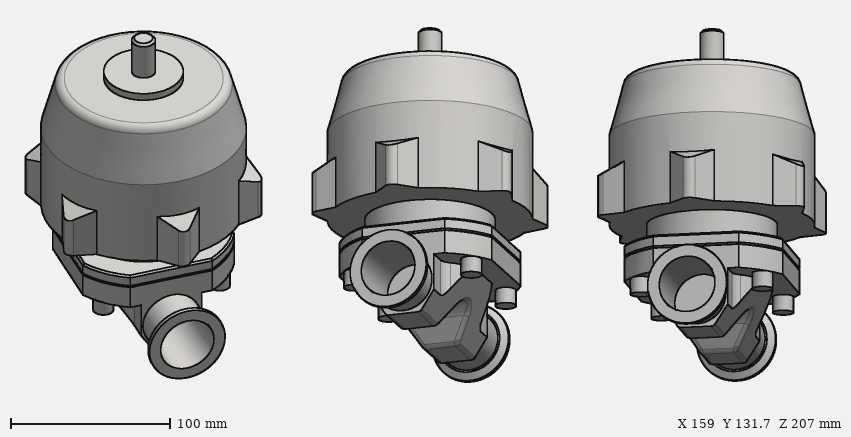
import cadquery as cq
import math


web_bottom = -21.0
bolt_bottom = 6.0
flange_bottom = 16.2
seam = 31.3
bonnet_top = 39.8
cap_bottom = 56.7
cap_shoulder = 114.5
cap_top = 151.5
disc_top = 156.5
stem_top = 181.8

flange_side = 101.3
flange_corner_radius = 57.5
bonnet_chamfer = 1.2

neck_radius = 82.0 / 2
cap_radius = 129.0 / 2
cap_top_radius = 54.5
cap_fillet = 6.0
disc_radius = 50.0 / 2
lobe_count = 6
lobe_tip = 75.2
lobe_tip_fillet = 5.4
lobe_root = 46.4
lobe_half_angle = 44
lobe_top = 89.9
lobe_top_edge = 63.0
lobe_top_slope = 30

stem_radius = 15.0 / 2
stem_chamfer = 1.7

body_length = 159.0
pipe_radius = 38.1 / 2
bore_radius = 35.6 / 2
bore_depth = 49.7
ferrule_radius = 50.5 / 2
ferrule_rim = 3.0
ferrule_thickness = 5.2
ferrule_back_radius = 20.3

web_half_width = 20.3
web_hub_radius = 39.1
web_hub_fillet = 10.0
web_slope_half_width = 35.5
web_slope_angle = 33
web_edge_fillet = 3.3
arch_top = 0.6
arch_radius = 11.4
arch_flank_angle = 60
arch_foot_fillet = 4.3

bolt_radius = 13.0 / 2
bolt_x = 32.7
bolt_y = 39.0


def rounded_square(bottom, top):
    """Square plate whose corners follow a circle about the actuator axis."""
    height = top - bottom
    square = cq.Workplane("XY").workplane(offset=bottom).rect(flange_side, flange_side).extrude(height)
    disc = cq.Workplane("XY").workplane(offset=bottom).circle(flange_corner_radius).extrude(height)
    return square.intersect(disc)


def make_lobe(angle):
    """Grip lobe: a wedge with a rounded tip and a top that slopes down outwards."""
    half_angle = math.radians(lobe_half_angle)
    sharp_tip = lobe_tip + lobe_tip_fillet * (1 / math.sin(half_angle) - 1)
    root_half_width = (sharp_tip - lobe_root) * math.tan(half_angle)
    wedge = (
        cq.Workplane("XY")
        .workplane(offset=cap_bottom)
        .polyline([(lobe_root, -root_half_width), (sharp_tip, 0), (lobe_root, root_half_width)])
        .close()
        .extrude(lobe_top - cap_bottom)
        .edges("|Z and >X")
        .fillet(lobe_tip_fillet)
    )
    tip_drop = (sharp_tip - lobe_top_edge) * math.tan(math.radians(lobe_top_slope))
    above_slope = (
        cq.Workplane("XZ")
        .polyline([(lobe_top_edge, lobe_top), (sharp_tip, lobe_top), (sharp_tip, lobe_top - tip_drop)])
        .close()
        .extrude(root_half_width, both=True)
    )
    return wedge.cut(above_slope).rotate((0, 0, 0), (0, 0, 1), angle)


def make_actuator():
    bonnet = rounded_square(seam, bonnet_top).faces("<Z or >Z").chamfer(bonnet_chamfer)
    neck = cq.Workplane("XY").workplane(offset=seam).circle(neck_radius).extrude(cap_bottom - seam)
    cap = (
        cq.Workplane("XZ")
        .polyline([
            (0, cap_bottom),
            (cap_radius, cap_bottom),
            (cap_radius, cap_shoulder),
            (cap_top_radius, cap_top),
            (0, cap_top),
        ])
        .close()
        .revolve(360, (0, 0, 0), (0, 1, 0))
        .edges(">Z")
        .fillet(cap_fillet)
    )
    disc = cq.Workplane("XY").workplane(offset=cap_top).circle(disc_radius).extrude(disc_top - cap_top)
    actuator = bonnet.union(neck).union(cap).union(disc)
    for index in range(lobe_count):
        actuator = actuator.union(make_lobe(index * 360 / lobe_count))
    return actuator


def make_stem():
    return (
        cq.Workplane("XY")
        .workplane(offset=disc_top)
        .circle(stem_radius)
        .extrude(stem_top - disc_top)
        .faces(">Z")
        .chamfer(stem_chamfer)
    )


def make_arch():
    """Tunnel along Y under the weir: a round crown on two straight flanks."""
    flank = math.radians(arch_flank_angle)
    shoulder_x = arch_radius * math.sin(flank)
    shoulder_z = arch_top - arch_radius * (1 - math.cos(flank))
    foot_x = shoulder_x + (shoulder_z - web_bottom) / math.tan(flank)
    return (
        cq.Workplane("XZ")
        .moveTo(-foot_x, web_bottom)
        .lineTo(-shoulder_x, shoulder_z)
        .threePointArc((0, arch_top), (shoulder_x, shoulder_z))
        .lineTo(foot_x, web_bottom)
        .close()
        .extrude(flange_side / 2, both=True)
    )


def lower_edges(y_start, y_end):
    """Selects edges of the web's underside, clear of its end faces, centred between two Y values."""
    margin = 2
    x_limit = flange_side / 2 - margin
    return cq.selectors.BoxSelector(
        (-x_limit, y_start, web_bottom - margin),
        (x_limit, y_end, arch_top + margin),
    )


def make_keel():
    """Bar along X with sides that slope in downwards and an arched, rounded underside."""
    slope = math.tan(math.radians(web_slope_angle))
    foot_half_width = web_slope_half_width - (flange_bottom - web_bottom) * slope
    keel = (
        cq.Workplane("YZ")
        .polyline([
            (-foot_half_width, web_bottom),
            (foot_half_width, web_bottom),
            (web_slope_half_width, flange_bottom),
            (-web_slope_half_width, flange_bottom),
        ])
        .close()
        .extrude(flange_side / 2, both=True)
        .cut(make_arch())
    )
    arch_feet = cq.selectors.AndSelector(
        lower_edges(-foot_half_width, foot_half_width), cq.selectors.StringSyntaxSelector("|Y and <Z")
    )
    keel = keel.edges(arch_feet).fillet(arch_foot_fillet)
    for side in (-1, 1):
        rim = lower_edges(side * foot_half_width / 2, side * web_slope_half_width)
        keel = keel.edges(rim).fillet(web_edge_fillet)
    return keel


def make_web():
    """Web under the flange: the keel trimmed to a straight bar blended into a round hub."""
    height = flange_bottom - web_bottom
    plane = cq.Workplane("XY").workplane(offset=web_bottom)
    bar = plane.rect(flange_side, 2 * web_half_width).extrude(height)
    plan = plane.circle(web_hub_radius).extrude(height).union(bar)
    junction_x = math.sqrt(web_hub_radius**2 - web_half_width**2)
    for end in (-1, 1):
        for side in (-1, 1):
            junction = (end * junction_x, side * web_half_width, web_bottom + height / 2)
            plan = plan.edges(cq.selectors.NearestToPointSelector(junction)).fillet(web_hub_fillet)
    return make_keel().intersect(plan)


def make_pipe_end():
    """Pipe stub with a clamp ferrule, at the -X end."""
    half_length = body_length / 2
    return (
        cq.Workplane("XZ")
        .polyline([
            (-half_length, 0),
            (-half_length, ferrule_radius),
            (-half_length + ferrule_rim, ferrule_radius),
            (-half_length + ferrule_thickness, ferrule_back_radius),
            (-half_length + ferrule_thickness, pipe_radius),
            (-flange_side / 2, pipe_radius),
            (-flange_side / 2, 0),
        ])
        .close()
        .revolve(360, (0, 0, 0), (1, 0, 0))
    )


def make_bore():
    return cq.Workplane("YZ").workplane(offset=-body_length / 2).circle(bore_radius).extrude(bore_depth)


def make_valve_body():
    bolts = (
        cq.Workplane("XY")
        .workplane(offset=bolt_bottom)
        .rect(2 * bolt_x, 2 * bolt_y, forConstruction=True)
        .vertices()
        .circle(bolt_radius)
        .extrude(flange_bottom - bolt_bottom)
    )
    pipe_end = make_pipe_end()
    bore = make_bore()
    return (
        rounded_square(flange_bottom, seam)
        .union(make_web())
        .union(bolts)
        .union(pipe_end)
        .union(pipe_end.mirror("YZ"))
        .cut(bore)
        .cut(bore.mirror("YZ"))
    )


valve_body = make_valve_body()
actuator = make_actuator()
stem = make_stem()

result = cq.Compound.makeCompound([valve_body.val(), actuator.val(), stem.val()])